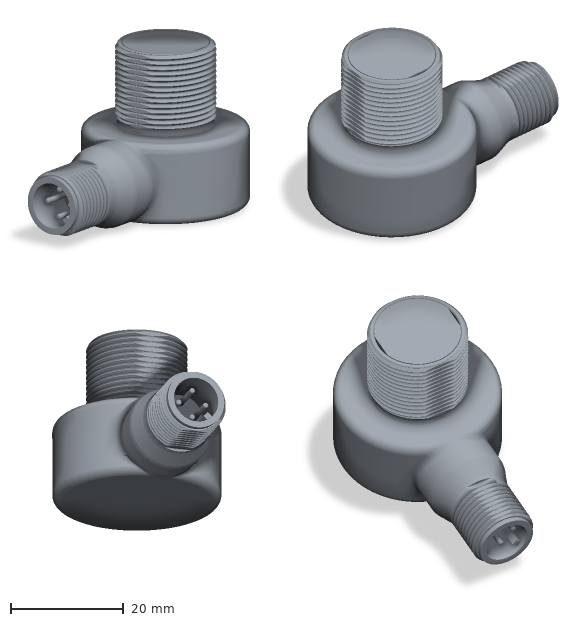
import cadquery as cq
import math

TOTAL_HEIGHT = 30.0
OVERLAP = 0.1

BODY_RADIUS = 15.0
BODY_BAND_RADIUS = 15.005
BODY_BOTTOM = 0.25
BODY_BAND_TOP = 3.9
BODY_TOP = 15.0
BODY_EDGE_FILLET = 1.5

OUTLET_RADIUS = 7.5
OUTLET_AXIS_Z = OUTLET_RADIUS
OUTLET_CONE_START = 19.1
OUTLET_CONE_END = 23.1
OUTLET_SHOULDER = 23.5
OUTLET_TIP = 34.0
OUTLET_BEND_RADIUS = 2.3
OUTLET_BLEND_RADIUS = 1.0
OUTLET_BLEND_BOTTOM = 3.5
OUTLET_JOINT_REACH = 12.5

THREAD_PITCH = 1.0
THREAD_DEPTH = 0.6
GROOVE_ROOT_WIDTH = 0.12
GROOVE_CREST_WIDTH = 0.9
GROOVE_START_ANGLE = 60.0

BARREL_RADIUS = 9.0
BARREL_FLAT = 8.5
BARREL_GROOVE_START = 16.17
BARREL_RELIEF_TOP = 16.5
BARREL_RELIEF_RADIUS = 8.45
BARREL_BASE_RADIUS = 8.87
BARREL_END_CHAMFER = 0.6
FLAT_FOOT_FILLET = 0.35

PLUG_RADIUS = 6.0
PLUG_FLAT = 5.5
PLUG_GROOVE_START = 24.37
PLUG_THREAD_END = 33.1
PLUG_END_CHAMFER = 0.5
PLUG_TIP_RADIUS = 5.25

SOCKET_RADIUS = 4.12
SOCKET_DEPTH = 9.0

CARRIER_THICKNESS = 3.0
KEY_WIDTH = 1.15
KEY_INNER_RADIUS = 2.98
KEY_ANGLE = -45.0
KEY_SETBACK = 1.0
PIN_COUNT = 4
PIN_RADIUS = 0.5
PIN_CIRCLE_RADIUS = 2.5
PIN_SETBACK = 2.0
PIN_TIP_FILLET = 0.3

FACE_RADIUS = 7.7
FACE_FLAT = 7.3
FACE_THICKNESS = 2.0
FACE_MOUTH_CHAMFER = 0.2


def cylinder(radius, start, end):
    return cq.Workplane("XY").workplane(offset=start).circle(radius).extrude(end - start)


def along_outlet(shape):
    """Turn a shape built along +Z so that it lies along -Y on the outlet axis."""
    return shape.rotate((0, 0, 0), (1, 0, 0), 90).translate((0, 0, OUTLET_AXIS_Z))


def thread_groove(radius, start, end):
    """Helical V groove along Z, starting at the start angle and running out past end."""
    half_root = GROOVE_ROOT_WIDTH / 2
    half_crest = GROOVE_CREST_WIDTH / 2
    flank_slope = (half_crest - half_root) / THREAD_DEPTH
    half_mouth = half_crest + flank_slope * OVERLAP
    root = radius - THREAD_DEPTH
    mouth = radius + OVERLAP
    corners = [(root, half_root), (mouth, half_mouth), (mouth, -half_mouth), (root, -half_root)]
    length = end - start + THREAD_PITCH
    edges = [
        cq.Wire.makeHelix(THREAD_PITCH, length, r, center=cq.Vector(0, 0, start + dz))
        for r, dz in corners
    ]
    faces = [
        cq.Face.makeRuledSurface(edge, following)
        for edge, following in zip(edges, edges[1:] + edges[:1])
    ]
    for ends in ([e.startPoint() for e in edges], [e.endPoint() for e in edges]):
        faces.append(cq.Face.makeFromWires(cq.Wire.makePolygon(ends, close=True)))
    groove = cq.Workplane(cq.Solid.makeSolid(cq.Shell.makeShell(faces)).fix())
    return groove.rotate((0, 0, 0), (0, 0, 1), GROOVE_START_ANGLE)


def threaded_rod(radius, start, groove_start, end):
    return cylinder(radius, start, end).cut(thread_groove(radius, groove_start, end))


def cut_flats(rod, distance, start, end, foot_fillet=0):
    """Cut flats at +Y and -Y of a rod along Z, optionally with a rounded foot."""
    size = 4 * distance
    for side in (1, -1):
        cutter = (
            cq.Workplane("XY")
            .box(size, size, end - start + OVERLAP, centered=(True, True, False))
            .translate((0, side * (distance + size / 2), start))
        )
        if foot_fillet:
            inner = "<Y" if side > 0 else ">Y"
            cutter = cutter.faces("<Z").edges(inner).fillet(foot_fillet)
        rod = rod.cut(cutter)
    return rod


def make_round_body():
    return (
        cq.Workplane("XZ")
        .moveTo(0, BODY_BOTTOM)
        .lineTo(BODY_BAND_RADIUS, BODY_BOTTOM)
        .lineTo(BODY_RADIUS, BODY_BAND_TOP)
        .lineTo(BODY_RADIUS, BODY_TOP)
        .lineTo(0, BODY_TOP)
        .close()
        .revolve(360, (0, 0, 0), (0, 1, 0))
        .faces("<Z or >Z").edges().fillet(BODY_EDGE_FILLET)
    )


def make_outlet():
    """Neck, cone and shoulder of the outlet, with both ends of the cone rounded."""
    outlet = (
        cq.Workplane("XZ")
        .lineTo(OUTLET_RADIUS, 0)
        .lineTo(OUTLET_RADIUS, OUTLET_CONE_START)
        .lineTo(PLUG_RADIUS, OUTLET_CONE_END)
        .lineTo(PLUG_RADIUS, OUTLET_SHOULDER + OVERLAP)
        .lineTo(0, OUTLET_SHOULDER + OVERLAP)
        .close()
        .revolve(360, (0, 0, 0), (0, 1, 0))
    )
    for height in (OUTLET_CONE_START, OUTLET_CONE_END):
        slab = cq.selectors.BoxSelector(
            (-BODY_RADIUS, -BODY_RADIUS, height - OVERLAP), (BODY_RADIUS, BODY_RADIUS, height + OVERLAP)
        )
        outlet = outlet.edges(slab).fillet(OUTLET_BEND_RADIUS)
    shoulder_cut = cylinder(2 * PLUG_RADIUS, OUTLET_SHOULDER, OUTLET_TIP)
    below_body = cylinder(BODY_RADIUS, BODY_BOTTOM - OUTLET_RADIUS, BODY_BOTTOM)
    return along_outlet(outlet.cut(shoulder_cut)).cut(below_body)


def make_barrel():
    """M18 barrel with a chamfered end, standing on a concave thread relief."""
    start = BODY_TOP - BODY_EDGE_FILLET
    rod = threaded_rod(BARREL_RADIUS, start, BARREL_GROOVE_START, TOTAL_HEIGHT)
    envelope = (
        cq.Workplane("XZ")
        .moveTo(0, start)
        .lineTo(BARREL_BASE_RADIUS, start)
        .lineTo(BARREL_BASE_RADIUS, BODY_TOP)
        .threePointArc(
            (BARREL_RELIEF_RADIUS, (BODY_TOP + BARREL_RELIEF_TOP) / 2),
            (BARREL_RADIUS + OVERLAP, BARREL_RELIEF_TOP),
        )
        .lineTo(BARREL_RADIUS + OVERLAP, TOTAL_HEIGHT - BARREL_END_CHAMFER - OVERLAP)
        .lineTo(BARREL_RADIUS - BARREL_END_CHAMFER, TOTAL_HEIGHT)
        .lineTo(0, TOTAL_HEIGHT)
        .close()
        .revolve(360, (0, 0, 0), (0, 1, 0))
    )
    envelope = cut_flats(envelope, BARREL_FLAT, BODY_TOP, TOTAL_HEIGHT, FLAT_FOOT_FILLET)
    return rod.intersect(envelope)


def make_plug():
    """M12 connector thread with a chamfered end and a plain tip."""
    rod = threaded_rod(PLUG_RADIUS, OUTLET_SHOULDER, PLUG_GROOVE_START, PLUG_THREAD_END)
    envelope = (
        cylinder(PLUG_RADIUS + OVERLAP, OUTLET_SHOULDER, PLUG_THREAD_END)
        .faces(">Z").chamfer(PLUG_END_CHAMFER + OVERLAP)
    )
    envelope = cut_flats(envelope, PLUG_FLAT, OUTLET_SHOULDER, PLUG_THREAD_END)
    return along_outlet(rod.intersect(envelope).union(cylinder(PLUG_TIP_RADIUS, OUTLET_SHOULDER, OUTLET_TIP)))


def make_neck():
    """Round body and outlet, blended together above the lower band only."""
    plain = make_round_body().union(make_outlet())
    reach = 2 * BODY_RADIUS
    upper = plain.intersect(cylinder(reach, OUTLET_BLEND_BOTTOM, TOTAL_HEIGHT))
    lower = plain.intersect(cylinder(reach, -OVERLAP, OUTLET_BLEND_BOTTOM))
    joint = cq.selectors.BoxSelector(
        (-reach, -BODY_RADIUS, BODY_BAND_TOP),
        (reach, -OUTLET_JOINT_REACH, TOTAL_HEIGHT),
    )
    upper = upper.edges(joint).edges("%BSPLINE").fillet(OUTLET_BLEND_RADIUS)
    return lower.union(upper)


def make_housing():
    housing = make_neck().union(make_barrel(), clean=False).union(make_plug(), clean=False)

    carrier_seat = OUTLET_TIP - SOCKET_DEPTH - CARRIER_THICKNESS
    socket = along_outlet(cylinder(SOCKET_RADIUS, carrier_seat, OUTLET_TIP))
    housing = housing.cut(socket, clean=False)

    face_seat = TOTAL_HEIGHT - FACE_THICKNESS
    face_recess = (
        cq.Workplane("XZ")
        .moveTo(0, face_seat)
        .lineTo(FACE_RADIUS, face_seat)
        .lineTo(FACE_RADIUS, TOTAL_HEIGHT - FACE_MOUTH_CHAMFER)
        .lineTo(FACE_RADIUS + FACE_MOUTH_CHAMFER, TOTAL_HEIGHT)
        .lineTo(0, TOTAL_HEIGHT)
        .close()
        .revolve(360, (0, 0, 0), (0, 1, 0))
    )
    return housing.cut(face_recess, clean=False)


def make_contact_carrier():
    floor = OUTLET_TIP - SOCKET_DEPTH
    seat = floor - CARRIER_THICKNESS
    carrier = cylinder(SOCKET_RADIUS, seat, floor)

    key_end = OUTLET_TIP - KEY_SETBACK
    key = (
        cq.Workplane("XY")
        .box(SOCKET_RADIUS, KEY_WIDTH, key_end - seat, centered=(False, True, False))
        .translate((KEY_INNER_RADIUS, 0, seat))
        .rotate((0, 0, 0), (0, 0, 1), KEY_ANGLE)
        .intersect(cylinder(SOCKET_RADIUS, seat, key_end))
    )
    carrier = carrier.union(key)

    pin = cylinder(PIN_RADIUS, seat, OUTLET_TIP - PIN_SETBACK).faces(">Z").edges().fillet(PIN_TIP_FILLET)
    for number in range(PIN_COUNT):
        angle = 2 * math.pi * number / PIN_COUNT
        spot = (PIN_CIRCLE_RADIUS * math.cos(angle), PIN_CIRCLE_RADIUS * math.sin(angle), 0)
        carrier = carrier.union(pin.translate(spot))
    return along_outlet(carrier)


def make_sensing_face():
    disc = cylinder(FACE_RADIUS, TOTAL_HEIGHT - FACE_THICKNESS, TOTAL_HEIGHT)
    between_flats = cq.Workplane("XY").box(2 * FACE_FLAT, 4 * FACE_RADIUS, 4 * TOTAL_HEIGHT)
    return disc.intersect(between_flats)


housing = make_housing()
contact_carrier = make_contact_carrier()
sensing_face = make_sensing_face()

result = cq.Compound.makeCompound([housing.val(), contact_carrier.val(), sensing_face.val()])